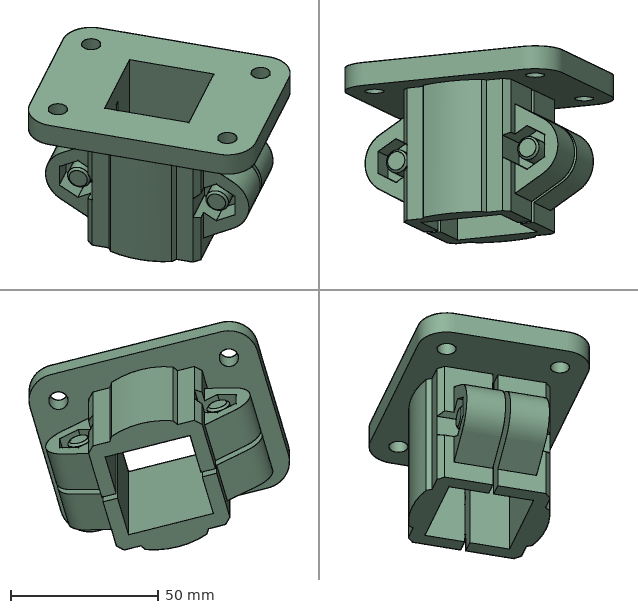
import cadquery as cq
import math

PLATE_LENGTH = 80.0
PLATE_WIDTH = 60.0
PLATE_THICKNESS = 8.0
PLATE_CORNER_RADIUS = 10.0
MOUNT_HOLE_DIAMETER = 6.5
MOUNT_HOLE_INSET = 10.0

SOCKET_SIDE = 40.0
SOCKET_DEPTH = 46.0
SOCKET_CHAMFER = 2.2
BORE_SIDE = 29.8
CLAMP_GAP = 1.8

RIB_BASE_WIDTH = 23.8
RIB_EDGE_WIDTH = 21.6
RIB_EDGE_HEIGHT = 1.8
RIB_CROWN_HEIGHT = 3.7

LUG_REACH = 36.0
LUG_DEPTH = 29.1
LUG_NOSE_RADIUS = 11.0
LUG_FLANK_ANGLE = math.radians(30)
BOLT_X = 24.5
BOLT_Z = -23.5
BOLT_DIAMETER = 8.0
BOLT_LENGTH = 28.5
BOLT_END_CHAMFER = 0.8
POCKET_ACROSS_FLATS = 13.2
POCKET_FLOOR_Y = 6.4


def flange_plate():
    """Rounded plate with a mounting hole near each corner."""
    hole_spacing_x = PLATE_LENGTH - 2 * MOUNT_HOLE_INSET
    hole_spacing_y = PLATE_WIDTH - 2 * MOUNT_HOLE_INSET
    plate = (
        cq.Workplane("XY")
        .rect(PLATE_LENGTH, PLATE_WIDTH)
        .extrude(PLATE_THICKNESS)
        .edges("|Z")
        .fillet(PLATE_CORNER_RADIUS)
    )
    return (
        plate.faces(">Z")
        .workplane()
        .rect(hole_spacing_x, hole_spacing_y, forConstruction=True)
        .vertices()
        .hole(MOUNT_HOLE_DIAMETER)
    )


def socket_block():
    """Solid square block with chamfered upright edges."""
    return (
        cq.Workplane("XY")
        .rect(SOCKET_SIDE, SOCKET_SIDE)
        .extrude(-SOCKET_DEPTH)
        .edges("|Z")
        .chamfer(SOCKET_CHAMFER)
    )


def rib(side):
    """Bulged rib on the +Y (side = 1) or -Y (side = -1) face."""
    face_y = side * SOCKET_SIDE / 2
    edge_y = face_y + side * RIB_EDGE_HEIGHT
    crown_y = face_y + side * RIB_CROWN_HEIGHT
    return (
        cq.Workplane("XY")
        .moveTo(-RIB_BASE_WIDTH / 2, 0)
        .lineTo(-RIB_BASE_WIDTH / 2, face_y)
        .lineTo(-RIB_EDGE_WIDTH / 2, edge_y)
        .threePointArc((0, crown_y), (RIB_EDGE_WIDTH / 2, edge_y))
        .lineTo(RIB_BASE_WIDTH / 2, face_y)
        .lineTo(RIB_BASE_WIDTH / 2, 0)
        .close()
        .extrude(-SOCKET_DEPTH)
    )


def lug(side):
    """Rounded lug with flanks tangent to its nose, on the +X (side = 1) or -X (side = -1) face."""
    nose_x = LUG_REACH - LUG_NOSE_RADIUS
    tangent_x = nose_x + LUG_NOSE_RADIUS * math.sin(LUG_FLANK_ANGLE)
    tangent_z = LUG_NOSE_RADIUS * math.cos(LUG_FLANK_ANGLE)
    root_x = (SOCKET_SIDE + BORE_SIDE) / 4
    root_z = tangent_z + (tangent_x - root_x) * math.tan(LUG_FLANK_ANGLE)
    return (
        cq.Workplane("XZ", origin=(0, 0, BOLT_Z))
        .moveTo(side * root_x, root_z)
        .lineTo(side * tangent_x, tangent_z)
        .threePointArc((side * LUG_REACH, 0), (side * tangent_x, -tangent_z))
        .lineTo(side * root_x, -root_z)
        .close()
        .extrude(LUG_DEPTH / 2, both=True)
    )


def nut_pockets(side):
    """Hexagonal pockets entering a lug from both Y ends, with a slot relieving the socket's corners."""
    corner_radius = POCKET_ACROSS_FLATS / math.sqrt(3)
    pocket_run = SOCKET_SIDE / 2 - POCKET_FLOOR_Y
    slot_inner_x = SOCKET_SIDE / 2 - SOCKET_CHAMFER
    slot_length = BOLT_X - slot_inner_x
    hexagon = (
        cq.Workplane("XZ", origin=(side * BOLT_X, -POCKET_FLOOR_Y, BOLT_Z))
        .transformed(rotate=(0, 0, 90))
        .polygon(6, 2 * corner_radius)
        .extrude(pocket_run)
    )
    slot = (
        cq.Workplane("XZ", origin=(side * (BOLT_X - slot_length / 2), -POCKET_FLOOR_Y, BOLT_Z))
        .rect(slot_length, corner_radius)
        .extrude(pocket_run)
    )
    pocket = hexagon.union(slot)
    return pocket.union(pocket.mirror("XZ"))


def bolt(side):
    """Bolt along Y through both halves of a lug, chamfered at its ends."""
    return (
        cq.Workplane("XZ", origin=(side * BOLT_X, BOLT_LENGTH / 2, BOLT_Z))
        .circle(BOLT_DIAMETER / 2)
        .extrude(BOLT_LENGTH)
        .edges()
        .chamfer(BOLT_END_CHAMFER)
    )


def clamp_gap():
    """Slit in the XZ plane that splits the lugs and the X walls below the plate."""
    return (
        cq.Workplane("XY")
        .rect(2 * LUG_REACH, CLAMP_GAP)
        .extrude(-SOCKET_DEPTH)
    )


def bore():
    """Square opening through the plate and the socket."""
    return (
        cq.Workplane("XY", origin=(0, 0, -SOCKET_DEPTH))
        .rect(BORE_SIDE, BORE_SIDE)
        .extrude(SOCKET_DEPTH + PLATE_THICKNESS)
    )


body = socket_block()
for side in (-1, 1):
    body = body.union(rib(side)).union(lug(side))
for side in (-1, 1):
    body = body.cut(nut_pockets(side))

body = body.cut(clamp_gap()).union(flange_plate()).cut(bore())

for side in (-1, 1):
    body = body.union(bolt(side))

result = body